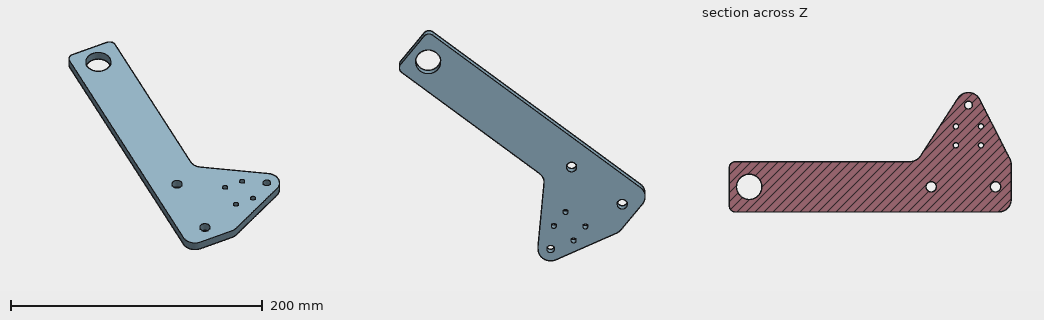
import cadquery as cq
import math

length = 224.0
height = 95.0
thickness = 8.0
arm_width = 40.0

arm_end_radius = 5.0
heel_radius = 10.0
shoulder_radius = 10.0
apex_radius = 10.0
neck_radius = 10.0

apex_x = 190.0
apex_y = height - apex_radius
neck_x = 149.0
shoulder_y = 40.0

eye_diameter = 20.0
eye_x = 16.0
pivot_diameter = 8.0
pivot_xs = (160.4, 211.5)
axis_y = arm_width / 2
apex_hole_diameter = 6.0
small_diameter = 4.0
small_pitch_x = 20.0
small_pitch_y = 15.0
small_centre_y = 60.5


def tangent_point(corner_x, corner_y, side):
    """Touch point on the apex arc of a flank from a corner; side is -1 left, +1 right."""
    dx = corner_x - apex_x
    dy = corner_y - apex_y
    angle = math.atan2(dy, dx) + side * math.acos(apex_radius / math.hypot(dx, dy))
    return (apex_x + apex_radius * math.cos(angle), apex_y + apex_radius * math.sin(angle))


def fillet_at(body, x, y, radius):
    """Round the vertical edge standing at (x, y)."""
    nearest = cq.selectors.NearestToPointSelector((x, y, thickness / 2))
    return body.edges("|Z").edges(nearest).fillet(radius)


def make_plate():
    plate = (
        cq.Workplane("XY")
        .moveTo(0, 0)
        .lineTo(length, 0)
        .lineTo(length, shoulder_y)
        .lineTo(*tangent_point(length, shoulder_y, 1))
        .threePointArc((apex_x, height), tangent_point(neck_x, arm_width, -1))
        .lineTo(neck_x, arm_width)
        .lineTo(0, arm_width)
        .close()
        .extrude(thickness)
    )
    corners = [
        (0, 0, arm_end_radius),
        (0, arm_width, arm_end_radius),
        (length, 0, heel_radius),
        (length, shoulder_y, shoulder_radius),
        (neck_x, arm_width, neck_radius),
    ]
    for x, y, radius in corners:
        plate = fillet_at(plate, x, y, radius)
    return plate


def drill(body, points, diameter):
    """Cut through holes of one diameter at the given points."""
    cutter = cq.Workplane("XY").pushPoints(points).circle(diameter / 2).extrude(thickness)
    return body.cut(cutter)


small_points = [
    (apex_x + i * small_pitch_x / 2, small_centre_y + j * small_pitch_y / 2)
    for i in (-1, 1)
    for j in (-1, 1)
]

result = make_plate()
result = drill(result, [(eye_x, axis_y)], eye_diameter)
result = drill(result, [(x, axis_y) for x in pivot_xs], pivot_diameter)
result = drill(result, [(apex_x, apex_y)], apex_hole_diameter)
result = drill(result, small_points, small_diameter)